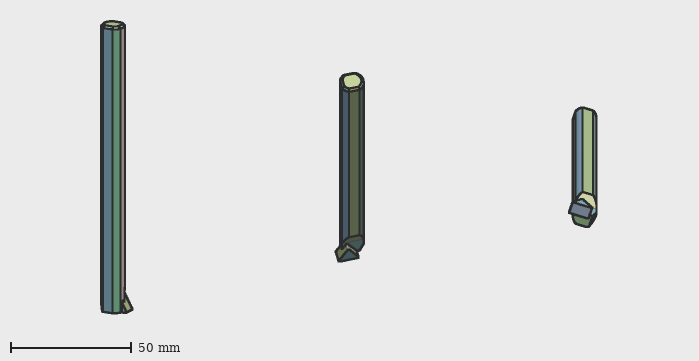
import cadquery as cq
import math

total_height = 124.4

shank_radius = 5.0
shank_diameter = 2 * shank_radius
flat_y = 4.42
flat_x = 4.6
top_chamfer = 1.0
shank_bottom = 0.2

seat_bottom_y = 1.0
seat_top_y = 1.6
relief_top = 16.7
relief_angle = 20.0

clearance_top = 5.8
clearance_depth = 1.9

insert_tip_x = 6.7
insert_height = 7.6
insert_nose_radius = 0.5
insert_front_y = 4.4
insert_thickness = 5.0

insert_inradius = (insert_height + insert_nose_radius) / 3
corner_distance = 2 * insert_inradius
nose_center_distance = 2 * (insert_inradius - insert_nose_radius)
insert_center_x = insert_tip_x - insert_nose_radius - nose_center_distance * math.cos(math.radians(30))


def make_insert():
    corners = [
        (
            insert_center_x + corner_distance * math.cos(math.radians(angle)),
            insert_inradius + corner_distance * math.sin(math.radians(angle)),
        )
        for angle in (90, 210, 330)
    ]
    return (
        cq.Workplane("XZ", origin=(0, insert_front_y, 0))
        .polyline(corners)
        .close()
        .extrude(insert_thickness)
        .edges("|Y")
        .fillet(insert_nose_radius)
    )


def make_bar():
    length = total_height - shank_bottom
    bar = (
        cq.Workplane("XY")
        .workplane(offset=shank_bottom)
        .circle(shank_radius)
        .extrude(length)
        .faces(">Z")
        .chamfer(top_chamfer)
    )
    block_width = 2 * shank_diameter
    flats = (
        cq.Workplane("XY")
        .workplane(offset=shank_bottom)
        .center(flat_x - block_width / 2, 0)
        .rect(block_width, 2 * flat_y)
        .extrude(length)
        .faces(">Z")
        .chamfer(top_chamfer)
    )
    return bar.intersect(flats)


def make_seat_relief():
    ramp_height = (flat_y - seat_top_y) / math.tan(math.radians(relief_angle))
    return (
        cq.Workplane("YZ")
        .moveTo(seat_bottom_y, 0)
        .lineTo(seat_top_y, relief_top - ramp_height)
        .lineTo(flat_y, relief_top)
        .lineTo(flat_y, 0)
        .close()
        .extrude(shank_radius, both=True)
    )


def make_side_clearance():
    return (
        cq.Workplane("XZ")
        .moveTo(-shank_radius, clearance_top)
        .lineTo(-shank_radius + clearance_depth, shank_bottom)
        .lineTo(-shank_radius, shank_bottom)
        .close()
        .extrude(shank_radius, both=True)
    )


insert = make_insert()
shank = make_bar().cut(make_seat_relief()).cut(make_side_clearance()).cut(insert)

result = cq.Compound.makeCompound([shank.val(), insert.val()])